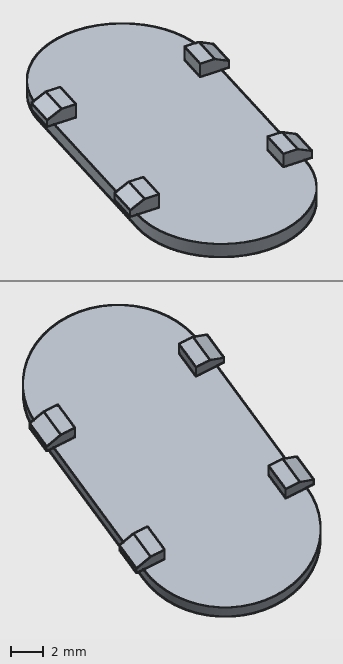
import cadquery as cq

plate_length = 24.1
plate_width = 11.6
plate_thickness = 1.0
straight_length = plate_length - plate_width

tab_length = 2.0
tab_depth = 2.0
tab_height = 1.0
tab_overhang = 0.5
ramp_depth = 1.0
ramp_drop = 0.5

tab_outer_y = plate_width / 2 + tab_overhang
tab_inner_y = tab_outer_y - tab_depth
tab_top_z = plate_thickness + tab_height


def make_plate():
    """Flat plate with full-round ends, resting on Z = 0."""
    return cq.Workplane("XY").slot2D(plate_length, plate_width).extrude(plate_thickness)


def make_tab():
    """Tab on the +X, +Y side, its outer end flush with the end of the straight edge."""
    profile = [
        (tab_inner_y, plate_thickness),
        (tab_outer_y, plate_thickness),
        (tab_outer_y, tab_top_z - ramp_drop),
        (tab_outer_y - ramp_depth, tab_top_z),
        (tab_inner_y, tab_top_z),
    ]
    tab_start_x = straight_length / 2 - tab_length
    return (
        cq.Workplane("YZ")
        .workplane(offset=tab_start_x)
        .polyline(profile)
        .close()
        .extrude(tab_length)
    )


def add_tabs(body):
    """Join one tab near each end of both straight edges."""
    right_back_tab = make_tab()
    left_back_tab = right_back_tab.mirror("YZ")
    for back_tab in (right_back_tab, left_back_tab):
        body = body.union(back_tab).union(back_tab.mirror("XZ"))
    return body


result = add_tabs(make_plate())